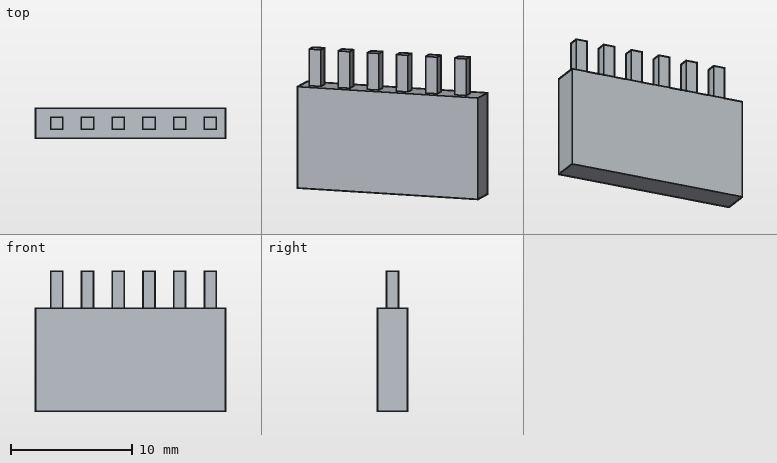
import cadquery as cq

housing_length = 15.74
housing_width = 2.5
housing_height = 8.53

total_height = 11.6
pin_count = 6
pin_side = 1.0
end_wall = 0.5
pin_pitch = (housing_length - end_wall) / pin_count
first_pin_x = end_wall + pin_pitch / 2
pin_height = total_height - housing_height


def make_housing():
    """Plain block with one corner at the origin."""
    return cq.Workplane("XY").box(housing_length, housing_width, housing_height, centered=False)


def make_pin(center_x):
    """Square pin resting on the housing top, midway across its width."""
    return (
        cq.Workplane("XY")
        .workplane(offset=housing_height)
        .center(center_x, housing_width / 2)
        .rect(pin_side, pin_side)
        .extrude(pin_height)
    )


housing = make_housing()
pins = [make_pin(first_pin_x + index * pin_pitch) for index in range(pin_count)]

result = cq.Compound.makeCompound([housing.val(), *[pin.val() for pin in pins]])